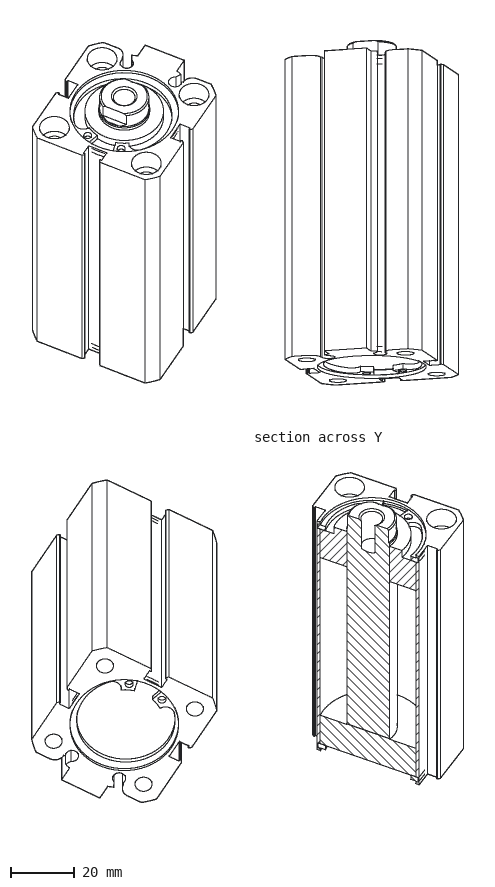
import cadquery as cq
import math

tube_side = 45.0
tube_length = 96.0
corner_round_radius = 29.45
half_side = tube_side / 2

rail_top = 27.5
rail_half_width = 6.9
groove_radius = 2.05
groove_center = (8.5, 18.1)
groove_tip = (8.7, 21.8)
groove_neck = (7.8, 20.03)
groove_lip = (10.3, 19.08)
shoulder_radius = 3.2
shoulder_x = 14.0

slot_depth = 4.5
slot_half_width = 3.2
slot_lip_half_width = 2.6
slot_flare_depth = 0.6
slot_lip_depth = 1.0

mount_pitch = 32.4
mount_hole_diameter = 5.3
mount_bore_diameter = 9.3
mount_bore_depth = 7.0

bore_radius = 17.0
ring_radius = 17.8
ring_thickness = 1.7
ring_inset = 1.1
ring_eye_radius = 15.4
ring_eye_shift = 1.0
ring_lug_radius = 12.5
ring_lug_fillet = 2.75
ring_fillet_angle = math.radians(41)
ring_gap_angle = math.radians(15)
ring_hole_radius = 1.25
ring_hole_place = (5.9, -13.45)

cover_length = 15.0
collar_radius = 12.3

rod_radius = 8.0
rod_protrusion = 7.0
rod_end_radius = 7.7
rod_shoulder_height = 1.4
rod_edge_chamfer = 0.3
rod_top_chamfer = 0.5
rod_flat_half_width = 6.5
rod_flat_length = 4.7
rod_hole_radius = 3.4
rod_hole_mouth_radius = 4.0
rod_hole_depth = 12.0
drill_tip_half_angle = math.radians(59)

rod_top = tube_length + rod_protrusion
rod_shoulder = tube_length + rod_shoulder_height
ring_bottom = tube_length - ring_inset - ring_thickness


def cylinder(radius, bottom, top):
    return cq.Workplane("XY").workplane(offset=bottom).circle(radius).extrude(top - bottom)


def flip_end_for_end(body):
    """Mirror a body from the rod end to the opposite end of the tube."""
    return body.mirror("XY", (0, 0, tube_length / 2))


def sensor_groove():
    """Groove beside the rail on the +X side: round bottom, narrow neck, rounded outer shoulder."""
    center_x, center_y = groove_center
    shoulder_y = half_side - shoulder_radius
    diagonal = shoulder_radius * math.sqrt(0.5)
    return (
        cq.Workplane("XY")
        .moveTo(rail_half_width, half_side)
        .lineTo(*groove_tip)
        .lineTo(*groove_neck)
        .threePointArc((center_x, center_y - groove_radius), groove_lip)
        .lineTo(shoulder_x - shoulder_radius, shoulder_y)
        .threePointArc(
            (shoulder_x - diagonal, shoulder_y + diagonal),
            (shoulder_x, half_side),
        )
        .close()
        .extrude(tube_length)
    )


def t_slot():
    """Slot in the -Y face with a flared mouth and a pair of lips."""
    right_edge = [
        (slot_half_width, -half_side),
        (slot_lip_half_width, slot_flare_depth - half_side),
        (slot_lip_half_width, slot_lip_depth - half_side),
        (slot_half_width, slot_lip_depth - half_side),
        (slot_half_width, slot_depth - half_side),
    ]
    left_edge = [(-x, y) for x, y in reversed(right_edge)]
    return cq.Workplane("XY").polyline(right_edge + left_edge).close().extrude(tube_length)


def make_tube():
    square_bar = cq.Workplane("XY").rect(tube_side, tube_side).extrude(tube_length)
    tube = square_bar.intersect(cylinder(corner_round_radius, 0, tube_length))
    rail = (
        cq.Workplane("XY")
        .rect(2 * rail_half_width, rail_top)
        .extrude(tube_length)
        .translate((0, rail_top / 2, 0))
    )
    tube = tube.union(rail)

    groove = sensor_groove()
    tube = tube.cut(groove).cut(groove.mirror("YZ"))

    for angle in (-90, 0, 90):
        tube = tube.cut(t_slot().rotate((0, 0, 0), (0, 0, 1), angle))

    tube = (
        tube.faces(">Z")
        .workplane(origin=(0, 0, tube_length))
        .rect(mount_pitch, mount_pitch, forConstruction=True)
        .vertices()
        .cboreHole(mount_hole_diameter, mount_bore_diameter, mount_bore_depth)
    )

    tube = tube.cut(cylinder(bore_radius, 0, tube_length))
    ring_groove = cylinder(ring_radius, ring_bottom, ring_bottom + ring_thickness)
    return tube.cut(ring_groove).cut(flip_end_for_end(ring_groove))


def ring_opening():
    """Off-centre round eye that narrows to the lug radius at the -Y side."""
    cos_fillet = math.cos(ring_fillet_angle)
    sin_fillet = math.sin(ring_fillet_angle)

    tangent_x = ring_eye_radius * cos_fillet
    tangent_y = -ring_eye_shift - ring_eye_radius * sin_fillet
    fillet_x = (ring_eye_radius - ring_lug_fillet) * cos_fillet
    fillet_y = -ring_eye_shift - (ring_eye_radius - ring_lug_fillet) * sin_fillet

    reach = math.hypot(fillet_x, fillet_y)
    cos_offset = (ring_lug_radius**2 + reach**2 - ring_lug_fillet**2) / (2 * ring_lug_radius * reach)
    corner_angle = math.atan2(fillet_y, fillet_x) - math.acos(cos_offset)
    corner_x = ring_lug_radius * math.cos(corner_angle)
    corner_y = ring_lug_radius * math.sin(corner_angle)

    lowest_y = fillet_y - ring_lug_fillet
    return (
        cq.Workplane("XY")
        .moveTo(-tangent_x, tangent_y)
        .threePointArc((0, ring_eye_radius - ring_eye_shift), (tangent_x, tangent_y))
        .threePointArc((fillet_x, lowest_y), (corner_x, corner_y))
        .threePointArc((0, -ring_lug_radius), (-corner_x, corner_y))
        .threePointArc((-fillet_x, lowest_y), (-tangent_x, tangent_y))
        .close()
        .extrude(ring_thickness)
    )


def make_retaining_ring():
    gap_reach = 2 * ring_radius
    gap_half_width = gap_reach * math.tan(ring_gap_angle)
    gap = (
        cq.Workplane("XY")
        .polyline([(0, 0), (gap_half_width, -gap_reach), (-gap_half_width, -gap_reach)])
        .close()
        .extrude(ring_thickness)
    )
    hole_x, hole_y = ring_hole_place
    plier_holes = (
        cq.Workplane("XY")
        .pushPoints([(hole_x, hole_y), (-hole_x, hole_y)])
        .circle(ring_hole_radius)
        .extrude(ring_thickness)
    )
    ring = cylinder(ring_radius, 0, ring_thickness).cut(ring_opening()).cut(gap).cut(plier_holes)
    return ring.translate((0, 0, ring_bottom))


def make_head_cover():
    """Plain disc behind the retaining ring at the closed end."""
    bottom = tube_length - ring_bottom
    return cylinder(bore_radius, bottom, cover_length)


def make_rod_cover():
    """Flange under the retaining ring and a collar flush with the tube end, bored for the rod."""
    flange = cylinder(bore_radius, tube_length - cover_length, ring_bottom)
    collar = cylinder(collar_radius, ring_bottom, tube_length)
    rod_bore = cylinder(rod_radius, tube_length - cover_length, tube_length)
    return flange.union(collar).cut(rod_bore)


def rod_flat_cutter():
    """Cutter for the -Y wrench flat, ending in a 45 degree run-out down to the shoulder."""
    flat_bottom = rod_top - rod_flat_length
    run_out = flat_bottom - rod_shoulder
    return (
        cq.Workplane("YZ")
        .polyline(
            [
                (-rod_flat_half_width, rod_top),
                (-rod_flat_half_width, flat_bottom),
                (-rod_flat_half_width - run_out, rod_shoulder),
                (-rod_radius, rod_shoulder),
                (-rod_radius, rod_top),
            ]
        )
        .close()
        .extrude(rod_radius, both=True)
    )


def make_rod():
    mouth_depth = rod_hole_mouth_radius - rod_hole_radius
    hole_bottom = rod_top - rod_hole_depth
    tip_length = rod_hole_radius / math.tan(drill_tip_half_angle)
    section = [
        (0, cover_length),
        (rod_radius, cover_length),
        (rod_radius, rod_shoulder - rod_edge_chamfer),
        (rod_end_radius, rod_shoulder),
        (rod_end_radius, rod_top - rod_top_chamfer),
        (rod_end_radius - rod_top_chamfer, rod_top),
        (rod_hole_mouth_radius, rod_top),
        (rod_hole_radius, rod_top - mouth_depth),
        (rod_hole_radius, hole_bottom),
        (0, hole_bottom - tip_length),
    ]
    rod = cq.Workplane("XZ").polyline(section).close().revolve(360, (0, 0), (0, 1))
    flat = rod_flat_cutter()
    return rod.cut(flat).cut(flat.mirror("XZ"))


tube = make_tube()
rod = make_rod()
rod_cover = make_rod_cover()
head_cover = make_head_cover()
rod_end_ring = make_retaining_ring()
head_end_ring = flip_end_for_end(rod_end_ring)
retaining_rings = [rod_end_ring, head_end_ring]

result = cq.Compound.makeCompound(
    [
        tube.val(),
        rod.val(),
        rod_cover.val(),
        head_cover.val(),
        *[ring.val() for ring in retaining_rings],
    ]
)